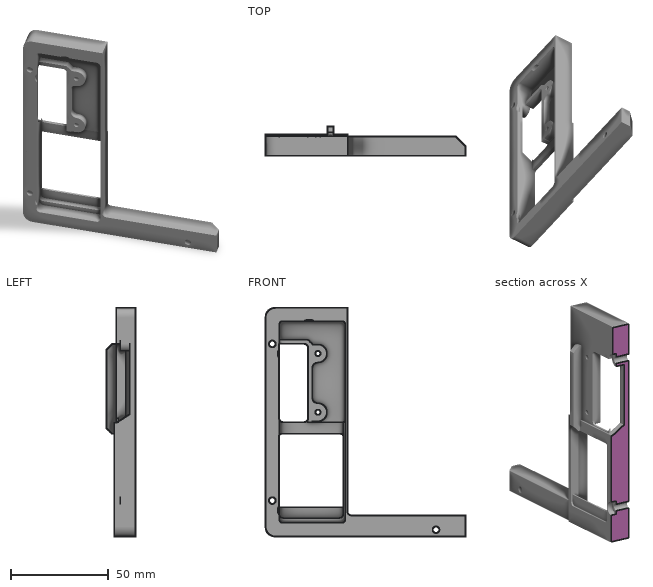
import cadquery as cq
import math

TOTAL_WIDTH = 102.17
TOTAL_HEIGHT = 116.87
TOTAL_DEPTH = 15.0

COLUMN_WIDTH = 41.9
COLUMN_DEPTH = 11.0
UPPER_DEPTH = 10.0
BACK_STEP_Z = 58.1
ARM_HEIGHT = 10.9
ARM_DEPTH = 10.0
ARM_TIP_CHAMFER = 5.0
OUTER_RADIUS = 5.0
INNER_RADIUS = 2.0

RIM = 7.0
RIGHT_WALL = 1.1
LEDGE_WIDTH = 1.1
POCKET_RIGHT = COLUMN_WIDTH - RIGHT_WALL
POCKET_TOP = 110.1
LEDGE_Y = 6.3
FLOOR_Y = 8.5
LIP_Y = 9.0
LIP_THICKNESS = 1.0
LOWER_RIGHT = POCKET_RIGHT - LEDGE_WIDTH
LOWER_BOTTOM = 9.5
POCKET_RADIUS = 2.0
FLOOR_RADIUS = 1.0

CLIP_RADIUS = 4.0
CLIP_DEPTH = 0.75
CLIP_FLOOR_Y = 1.5
TOP_CLIP_X = 22.3
SIDE_CLIP_Z = (13.5, 93.4)

CROSSBAR_BOTTOM = 52.4
CROSSBAR_TOP = 58.5
LOWER_WINDOW_BOTTOM = 15.0
LOWER_WINDOW_RADIUS = 1.0
UPPER_WINDOW_RIGHT = 21.7
UPPER_WINDOW_TOP = 98.4
UPPER_WINDOW_RADIUS = 2.0

PAD_Y = 5.0
PAD_EDGE_X = 23.9
PAD_MARGIN = 2.2
PAD_TOP = UPPER_WINDOW_TOP + PAD_MARGIN
PAD_SCREW_X = 26.8
PAD_SCREW_Z = (63.5, 93.5)
PAD_EAR_RADIUS = 4.6
PAD_BLEND_RADIUS = PAD_SCREW_X - PAD_EDGE_X
PAD_HOLE_DIAMETER = 2.5

SIDE_OPENING_Y = 3.1
SIDE_OPENING_RISE = 4.3

SCREW_DIAMETER = 3.3
SCREW_EDGE = 3.5
COLUMN_SCREW_Z = (18.4, UPPER_WINDOW_TOP)
ARM_SCREW_X = 87.1
COUNTERBORE_Y = 8.0
COUNTERBORE_DIAMETER = 6.9

FIN_LEFT = 31.6
FIN_WIDTH = 3.2
FIN_CHAMFER = 3.0


def box(x0, x1, y0, y1, z0, z1):
    """Box between the given limits."""
    return cq.Workplane("XY").box(x1 - x0, y1 - y0, z1 - z0, centered=False).translate((x0, y0, z0))


def prism(outline, y0, y1):
    """Extrude a closed XZ sketch, drawn at y = 0, so that it fills y0 to y1."""
    return outline.extrude(-(y1 - y0)).translate((0, y0, 0))


def rod(x, z, diameter, y0, y1):
    """Cylinder along Y."""
    return prism(cq.Workplane("XZ").center(x, z).circle(diameter / 2), y0, y1)


def frame():
    """Column and arm, with a rounded inner corner."""
    column = box(0, COLUMN_WIDTH, 0, COLUMN_DEPTH, 0, TOTAL_HEIGHT)
    column = column.edges("|Y and <X").fillet(OUTER_RADIUS)
    thinning = box(0, COLUMN_WIDTH, UPPER_DEPTH, COLUMN_DEPTH, BACK_STEP_Z, TOTAL_HEIGHT)
    arm = box(COLUMN_WIDTH, TOTAL_WIDTH, 0, ARM_DEPTH, 0, ARM_HEIGHT)
    arm = arm.edges("|Z and >X and >Y").chamfer(ARM_TIP_CHAMFER)
    blend_x = COLUMN_WIDTH + INNER_RADIUS
    blend_z = ARM_HEIGHT + INNER_RADIUS
    corner = box(COLUMN_WIDTH, blend_x, 0, ARM_DEPTH, ARM_HEIGHT, blend_z)
    corner = corner.cut(rod(blend_x, blend_z, 2 * INNER_RADIUS, 0, ARM_DEPTH))
    return column.cut(thinning).union(arm).union(corner)


def clip_notches():
    """Shallow rounded notches at the front edge of the pocket."""
    reach = CLIP_RADIUS - CLIP_DEPTH
    notches = rod(TOP_CLIP_X, POCKET_TOP - reach, 2 * CLIP_RADIUS, 0, CLIP_FLOOR_Y)
    for z in SIDE_CLIP_Z:
        notches = notches.union(rod(RIM + reach, z, 2 * CLIP_RADIUS, 0, CLIP_FLOOR_Y))
    return notches


def pocket():
    """Material removed from the front, down to the ledge, the floor and the lip."""
    front = box(RIM, POCKET_RIGHT, 0, LEDGE_Y, RIM, POCKET_TOP).edges("|Y").fillet(POCKET_RADIUS)
    upper = box(RIM, POCKET_RIGHT, 0, FLOOR_Y, CROSSBAR_TOP, POCKET_TOP)
    upper = upper.edges("|Y and >Z").fillet(POCKET_RADIUS)
    upper = upper.edges("|Y and >X and <Z").fillet(FLOOR_RADIUS)
    lower = box(RIM, LOWER_RIGHT, 0, LIP_Y, LOWER_BOTTOM, CROSSBAR_TOP)
    lower = lower.edges("|Y and <Z").fillet(POCKET_RADIUS)
    return front.union(upper).union(lower).union(clip_notches())


def screw_pad():
    """Pad with two rounded screw ears, raised from the pocket floor."""
    low_z, high_z = PAD_SCREW_Z
    ear = PAD_EAR_RADIUS
    blend = PAD_BLEND_RADIUS
    slack = blend * (1 - math.sqrt(0.5))
    shoulder_drop = PAD_TOP - (high_z + ear)
    outline = (
        cq.Workplane("XZ")
        .moveTo(RIM, CROSSBAR_TOP)
        .lineTo(RIM, PAD_TOP)
        .lineTo(UPPER_WINDOW_RIGHT, PAD_TOP)
        .lineTo(UPPER_WINDOW_RIGHT + shoulder_drop, PAD_TOP - shoulder_drop)
        .lineTo(PAD_SCREW_X, high_z + ear)
        .threePointArc((PAD_SCREW_X + ear, high_z), (PAD_SCREW_X, high_z - ear))
        .threePointArc((PAD_EDGE_X + slack, high_z - ear - slack), (PAD_EDGE_X, high_z - ear - blend))
        .lineTo(PAD_EDGE_X, low_z + ear + blend)
        .threePointArc((PAD_EDGE_X + slack, low_z + ear + slack), (PAD_SCREW_X, low_z + ear))
        .threePointArc((PAD_SCREW_X + ear, low_z), (PAD_SCREW_X, low_z - ear))
        .lineTo(PAD_EDGE_X, low_z - ear)
        .lineTo(PAD_EDGE_X, CROSSBAR_TOP)
        .close()
    )
    return prism(outline, PAD_Y, UPPER_DEPTH)


def windows():
    """Openings through the floor, above and below the crossbar."""
    lower = box(RIM, LOWER_RIGHT, LIP_Y, COLUMN_DEPTH, LOWER_WINDOW_BOTTOM, CROSSBAR_BOTTOM)
    lower = lower.edges("|Y and >Z").fillet(LOWER_WINDOW_RADIUS)
    behind_lip = box(RIM, LOWER_RIGHT, LIP_Y + LIP_THICKNESS, COLUMN_DEPTH, LOWER_BOTTOM, CROSSBAR_BOTTOM)
    behind_lip = behind_lip.edges("|Y and >Z").fillet(LOWER_WINDOW_RADIUS)
    behind_lip = behind_lip.edges("|Y and <Z").fillet(POCKET_RADIUS)
    lower = lower.union(behind_lip)
    through_pad = box(RIM, UPPER_WINDOW_RIGHT, 0, LIP_Y, CROSSBAR_TOP, UPPER_WINDOW_TOP)
    through_pad = through_pad.edges("|Y and >Z and >X").fillet(UPPER_WINDOW_RADIUS)
    through_floor = box(RIM, UPPER_WINDOW_RIGHT, LIP_Y, COLUMN_DEPTH, CROSSBAR_TOP, UPPER_WINDOW_TOP)
    through_floor = through_floor.edges("|Y and (<Z or >X)").fillet(UPPER_WINDOW_RADIUS)
    return lower.union(through_pad).union(through_floor)


def side_opening():
    """Opening from the left face into the upper window, with a sloped lower end."""
    profile = (
        cq.Workplane("YZ")
        .moveTo(SIDE_OPENING_Y, UPPER_WINDOW_TOP)
        .lineTo(SIDE_OPENING_Y, BACK_STEP_Z + SIDE_OPENING_RISE)
        .lineTo(UPPER_DEPTH, BACK_STEP_Z)
        .lineTo(COLUMN_DEPTH, BACK_STEP_Z)
        .lineTo(COLUMN_DEPTH, UPPER_WINDOW_TOP)
        .close()
    )
    return profile.extrude(RIM)


def screw_boss():
    """Rounded end of the wall around the upper column screw."""
    return rod(SCREW_EDGE, UPPER_WINDOW_TOP, 2 * SCREW_EDGE, SIDE_OPENING_Y, COUNTERBORE_Y)


def screw_holes():
    """Mounting holes, counterbored from the back in the column, and the pad holes."""
    holes = rod(ARM_SCREW_X, SCREW_EDGE, SCREW_DIAMETER, 0, ARM_DEPTH)
    for z in COLUMN_SCREW_Z:
        holes = holes.union(rod(SCREW_EDGE, z, SCREW_DIAMETER, 0, COLUMN_DEPTH))
        holes = holes.union(rod(SCREW_EDGE, z, COUNTERBORE_DIAMETER, COUNTERBORE_Y, COLUMN_DEPTH))
    for z in PAD_SCREW_Z:
        holes = holes.union(rod(PAD_SCREW_X, z, PAD_HOLE_DIAMETER, 0, COLUMN_DEPTH))
    return holes


def fin():
    """Upright blade on the back with chamfered ends."""
    blade = box(FIN_LEFT, FIN_LEFT + FIN_WIDTH, LIP_Y, TOTAL_DEPTH, CROSSBAR_BOTTOM, UPPER_WINDOW_TOP)
    return blade.edges("|X and >Y").chamfer(FIN_CHAMFER)


body = frame().cut(pocket()).union(screw_pad())
body = body.cut(windows()).cut(side_opening()).union(screw_boss())
result = body.union(fin()).cut(screw_holes())